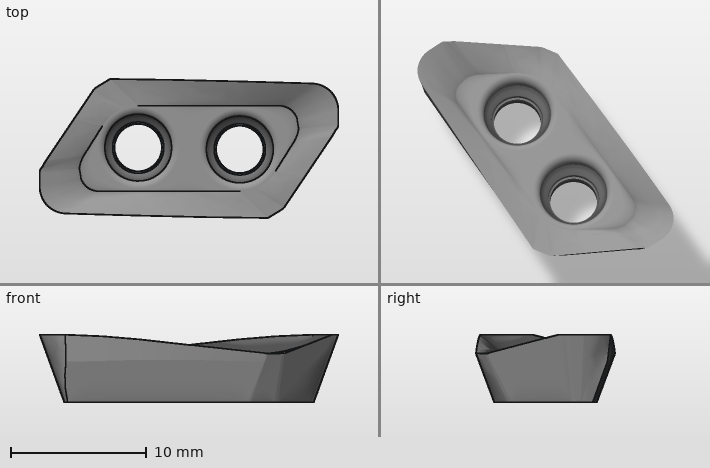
import cadquery as cq
import math


half_length = 11.0
half_width = 5.13
height = 5.0
low_rim = 3.6
floor_height = 3.56
mid_height = 3.0
mid_crown = 0.13
draft = math.tan(math.radians(20))

hole_offset = (3.75, -0.07)
head_radius = 3.0
border_gap = 0.09

slant_foot = (6.55, -2.49)
slant_angle = math.radians(60.6)
long_flank_slope = 0.023
low_rim_x = 5.8
slant_split_height = 4.18


def long_flank(x, z):
    """Point on the drafted plane of the -Y flank."""
    y = -half_width + (low_rim - z) * draft - long_flank_slope * (x - low_rim_x)
    return cq.Vector(x, y, z)


def end_flank(y, z):
    """Point on the drafted plane of the +X end flank."""
    return cq.Vector(half_length - (height - z) * draft, y, z)


def slant_flank(y, z):
    """Point on the drafted plane of the slanted flank on the +X side."""
    foot_x = slant_foot[0] + (y - slant_foot[1]) / math.tan(slant_angle)
    x = foot_x + z * draft / math.sin(slant_angle)
    return cq.Vector(x, y, z)


def opposite(point):
    """Point turned half a turn about Z."""
    return cq.Vector(-point.x, -point.y, point.z)


def between(start, end, z):
    """Point at height z on the straight line from start to end."""
    return start + (end - start) * ((z - start.z) / (end.z - start.z))


nose_start_foot = opposite(end_flank(2.57, 0))
nose_start_rim = opposite(end_flank(2.82, height))
nose_end_foot = long_flank(-8.93, 0)
nose_bow = long_flank(-9.13, mid_height / 2)
nose_end_mid = long_flank(-9.06, mid_height)
nose_end_rim = cq.Vector(-9.1, -4.8, height)

long_end_foot = long_flank(4.31, 0)
long_end_rim = long_flank(low_rim_x, low_rim)
long_end_mid = between(long_end_foot, long_end_rim, mid_height)
long_crown_mid = long_flank(0, mid_height + mid_crown)
long_rim_points = [
    nose_end_rim,
    cq.Vector(-5.28, -4.9, 4.8),
    cq.Vector(0, -5.04, 4.25),
    long_end_rim,
]

chamfer_start_foot = cq.Vector(4.5, -3.75, 0)
chamfer_end_foot = cq.Vector(6.3, -2.77, 0)
chamfer_end_rim = cq.Vector(6.86, -4.49, low_rim)

slant_start_foot = slant_flank(slant_foot[1], 0)
slant_start_rim = slant_flank(-4.31, low_rim)
slant_peak_rim = slant_flank(0.95, height)
slant_split_rim = between(slant_start_rim, slant_peak_rim, slant_split_height)
slant_end_foot = slant_flank(1.85, 0)
slant_end_rim = slant_flank(1.35, height)

end_start_foot = end_flank(2.22, 0)
end_start_rim = end_flank(1.78, height)

border_radius = head_radius + border_gap
floor_side = border_radius - hole_offset[1]
border_start = -90
border_chamfer = -70
border_split = -31


def floor_point(x, y):
    """Point on the floor."""
    return cq.Vector(x, y, floor_height)


def floor_by_hole(angle):
    """Point on the floor border that runs round the +X hole."""
    turn = math.radians(angle)
    x = hole_offset[0] + border_radius * math.cos(turn)
    y = hole_offset[1] + border_radius * math.sin(turn)
    return floor_point(x, y)


floor_nose_start = floor_point(-7.95, -2.25)
floor_nose_end = floor_point(-6.65, -floor_side)
floor_long_end = floor_by_hole(border_start)
floor_chamfer_end = floor_by_hole(border_chamfer)
floor_slant_split = floor_by_hole(border_split)
floor_slant_end = floor_point(7.72, 0.48)
floor_end_start = floor_point(8.07, 1.45)

along_minus_y = cq.Vector(0, -1, 0)
line = cq.Edge.makeLine
arc = cq.Edge.makeThreePointArc


def round_from_y(start, end):
    """Arc that leaves start along -Y and stops at end."""
    return cq.Edge.makeTangentArc(start, along_minus_y, end)


def hole_arc(start_angle, end_angle):
    """Arc of the floor border round the +X hole."""
    middle = (start_angle + end_angle) / 2
    return arc(floor_by_hole(start_angle), floor_by_hole(middle), floor_by_hole(end_angle))


nose_foot = round_from_y(nose_start_foot, nose_end_foot)
nose_rim = round_from_y(nose_start_rim, nose_end_rim)
long_foot = line(nose_end_foot, long_end_foot)
nose_side = arc(nose_end_foot, nose_bow, nose_end_mid)
long_mid = arc(nose_end_mid, long_crown_mid, long_end_mid)
long_rim = cq.Edge.makeSpline(long_rim_points)
chamfer_foot = line(chamfer_start_foot, chamfer_end_foot)
chamfer_rim = line(long_end_rim, chamfer_end_rim)
chamfer_round_foot = line(chamfer_end_foot, slant_start_foot)
chamfer_round_rim = line(chamfer_end_rim, slant_start_rim)
slant_round_foot = round_from_y(end_start_foot, slant_end_foot)
slant_round_rim = round_from_y(end_start_rim, slant_end_rim)

nose_floor = cq.Edge.makeTangentArc(floor_nose_end, cq.Vector(-1, 0, 0), floor_nose_start)
long_floor = line(floor_nose_end, floor_long_end)
chamfer_floor = hole_arc(border_start, border_chamfer)
slant_low_floor = hole_arc(border_chamfer, border_split)
slant_high_floor = line(floor_slant_split, floor_slant_end)
end_floor = line(floor_end_start, opposite(floor_nose_start))
slant_floor_tangent = floor_slant_end - floor_slant_split
slant_round_floor = cq.Edge.makeTangentArc(floor_slant_end, slant_floor_tangent, floor_end_start)

ruled = cq.Face.makeRuledSurface


def flat(*points):
    """Plane face through the given corner points."""
    return cq.Face.makeFromWires(cq.Wire.makePolygon(points, close=True))


def flat_inside(edges):
    """Plane face inside a loop of edges given in order."""
    return cq.Face.makeFromWires(cq.Wire.assembleEdges(edges))


def reversed_arc(edge):
    """The same arc run from its end to its start."""
    return arc(edge.endPoint(), edge.positionAt(0.5), edge.startPoint())


long_face = flat_inside([
    long_foot,
    line(long_end_foot, long_end_mid),
    reversed_arc(long_mid),
    reversed_arc(nose_side),
])
nose_face = cq.Face.makeNSidedSurface(
    [
        nose_foot,
        nose_side,
        line(nose_end_mid, nose_end_rim),
        nose_rim,
        line(nose_start_foot, nose_start_rim),
    ],
    [],
)

flank_faces = [
    nose_face,
    long_face,
    ruled(long_mid, long_rim),
    flat(long_end_foot, chamfer_start_foot, long_end_rim),
    ruled(chamfer_foot, chamfer_rim),
    ruled(chamfer_round_foot, chamfer_round_rim),
    flat(slant_start_foot, slant_end_foot, slant_end_rim, slant_peak_rim, slant_start_rim),
    ruled(slant_round_foot, slant_round_rim),
    flat(end_start_foot, opposite(nose_start_foot), opposite(nose_start_rim), end_start_rim),
]

rake_faces = [
    ruled(reversed_arc(nose_rim), nose_floor),
    ruled(long_rim, long_floor),
    ruled(chamfer_rim, chamfer_floor),
    flat(chamfer_end_rim, slant_start_rim, floor_chamfer_end),
    ruled(line(slant_start_rim, slant_split_rim), slant_low_floor),
    ruled(line(slant_split_rim, slant_peak_rim), slant_high_floor),
    flat(slant_peak_rim, slant_end_rim, floor_slant_end),
    ruled(reversed_arc(slant_round_rim), slant_round_floor),
    ruled(line(end_start_rim, opposite(nose_start_rim)), end_floor),
]


def with_opposite(shapes):
    """The shapes and their copies turned half a turn about Z."""
    origin = cq.Vector(0, 0, 0)
    up = cq.Vector(0, 0, 1)
    return shapes + [shape.rotate(origin, up, 180) for shape in shapes]


bottom_face = flat_inside(with_opposite([
    nose_foot,
    long_foot,
    line(long_end_foot, chamfer_start_foot),
    chamfer_foot,
    chamfer_round_foot,
    line(slant_start_foot, slant_end_foot),
    reversed_arc(slant_round_foot),
    line(end_start_foot, opposite(nose_start_foot)),
]))
floor_face = flat_inside(with_opposite([
    reversed_arc(nose_floor),
    long_floor,
    chamfer_floor,
    slant_low_floor,
    slant_high_floor,
    slant_round_floor,
    end_floor,
]))

skin = with_opposite(flank_faces + rake_faces) + [bottom_face, floor_face]
body = cq.Workplane(cq.Solid.makeSolid(cq.Shell.makeShell(skin)).fix())

mouth_round = 0.53
wall_radius = head_radius - mouth_round
wall_top = floor_height - mouth_round
wall_bottom = floor_height - 0.9
seat_radius = 2.27
seat_top = floor_height - 1.2
seat_edge_radius = 2.0
seat_bottom = floor_height - 1.52
neck_radius = 1.9
neck_top = floor_height - 1.65
neck_bottom = floor_height - 1.98
bore_radius = 1.74
flare_depth = 0.88
flare_radius = bore_radius + flare_depth

screw_hole = (
    cq.Workplane("XZ")
    .lineTo(flare_radius, 0)
    .lineTo(bore_radius, flare_depth)
    .lineTo(bore_radius, neck_bottom)
    .lineTo(neck_radius, neck_bottom)
    .lineTo(neck_radius, neck_top)
    .lineTo(seat_edge_radius, seat_bottom)
    .lineTo(seat_radius, seat_top)
    .tangentArcPoint((wall_radius, wall_bottom), relative=False)
    .lineTo(wall_radius, wall_top)
    .tangentArcPoint((head_radius, floor_height), relative=False)
    .lineTo(0, floor_height)
    .close()
    .revolve(360, (0, 0, 0), (0, 1, 0))
)

result = body
for side in (1, -1):
    result = result.cut(screw_hole.translate((side * hole_offset[0], side * hole_offset[1], 0)))